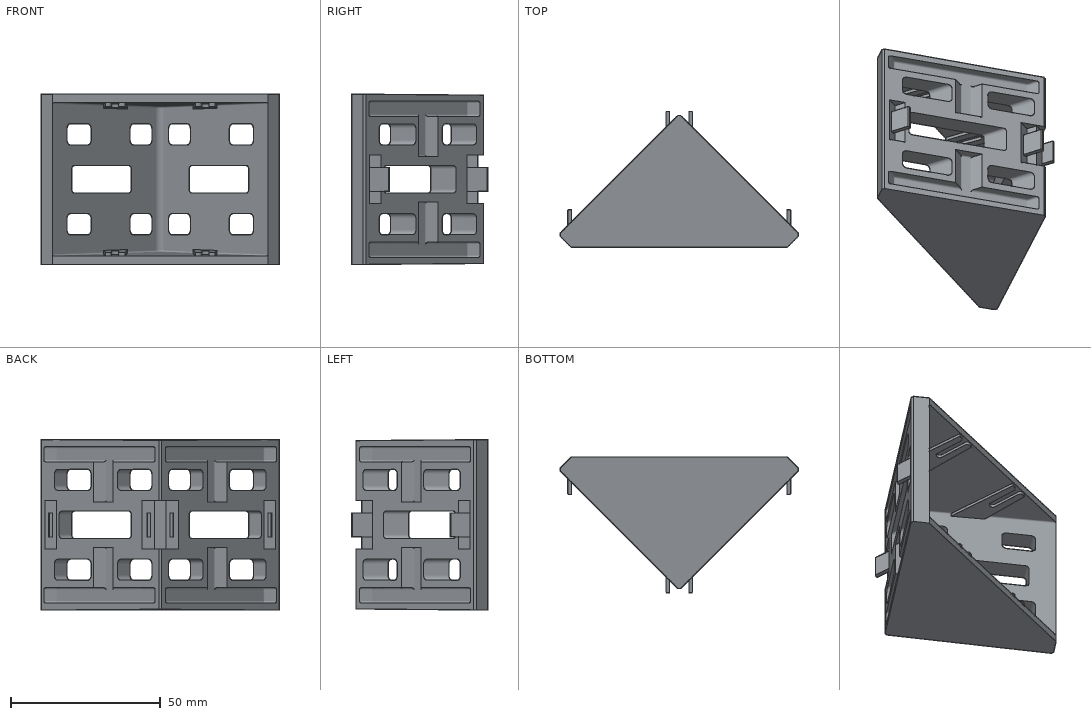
import cadquery as cq
import math

LEG_LENGTH = 57.0
LEG_THICKNESS = 6.0
HEIGHT = 57.0
TRIM = 0.5
PLATE_THICKNESS = 2.9
OUTER_DRAFT = 0.45
INNER_DRAFT = 2.2
APEX_FILLET = 2.0
PLATE_FILLET = 0.5

ROOT2 = math.sqrt(2)
HALF_WIDTH = LEG_LENGTH / ROOT2
LEG_CORNER_Y = LEG_THICKNESS / ROOT2
APEX_Y = HALF_WIDTH + LEG_CORNER_Y
INNER_APEX_Y = APEX_Y - LEG_THICKNESS * ROOT2
FRONT_HALF_WIDTH = HALF_WIDTH - LEG_CORNER_Y
HALF_HEIGHT = HEIGHT / 2
OVERCUT = 1.0

SMALL_WINDOWS = ((4.0, 20.2), (32.7, 50.0))
SMALL_WINDOW_HEIGHT = 7.0
SMALL_WINDOW_Z = 15.0
SMALL_WINDOW_RADIUS = 1.6
BIG_WINDOW = (13.7, 47.75)
BIG_WINDOW_HEIGHT = 9.1
BIG_WINDOW_RADIUS = 1.2

GROOVE_DEPTH = 2.9
GROOVE_SPAN = (2.45, 54.9)
GROOVE_Z = (21.0, 26.1)
GROOVE_FILLET = 0.65
BRANCH_SPAN = (22.3, 31.5)
BRANCH_END_Z = 7.55
BRANCH_FLOOR_FILLET = 0.4

TAB_THICKNESS = 1.3
TAB_WIDTH = 8.0
TAB_CLEARANCE = 1.25
TAB_TIP_CHAMFER = 0.3
POCKET_WIDTH = 16.1
APEX_TAB_X = 3.85
APEX_TAB_TOP = 45.44
APEX_POCKET_FLOOR = 38.45
APEX_NOTCH_Y = 42.1
END_TAB_X = 36.62
END_TAB_TOP = 12.6
END_POCKET_FLOOR = 6.0

PAD_X = 15.07
PAD_HEIGHT = 1.2
PAD_FRONT_Y = 0.2
PAD_EMBED = 1.0
PAD_FRONT_WIDTH = 6.6
PAD_SIDE_DRAFT = 2.0
SLOT_WIDTH = 2.4
SLOT_LENGTH = 12.0
SLOT_END_RADIUS = 1.0
SLOT_MOUTH_RADIUS = 1.2

LEG_FACE = cq.Plane(origin=(0, APEX_Y, 0), xDir=(-1, -1, 0), normal=(-1, 1, 0))


def both_sides(shape, plane):
    """The shape joined with its mirror image."""
    return shape.union(shape.mirror(plane))


def box_between(x_range, y_range, z_size):
    """Box centred on z = 0, spanning the given X and Y ranges."""
    x_size = x_range[1] - x_range[0]
    y_size = y_range[1] - y_range[0]
    box = cq.Workplane("XY").box(x_size, y_size, z_size)
    return box.translate((sum(x_range) / 2, sum(y_range) / 2, 0))


def wedge(front_half_height, draft, y_start, y_end):
    """Wide body whose top and bottom close in towards +Y by the draft angle."""
    slope = math.tan(math.radians(draft))
    start = front_half_height - slope * y_start
    end = front_half_height - slope * y_end
    outline = [(y_start, -start), (y_end, -end), (y_end, end), (y_start, start)]
    return cq.Workplane("YZ").polyline(outline).close().extrude(HALF_WIDTH, both=True)


def body():
    corner_x = HALF_WIDTH - TRIM
    right = [
        (FRONT_HALF_WIDTH, 0),
        (corner_x, LEG_CORNER_Y - TRIM),
        (corner_x, LEG_CORNER_Y + TRIM),
        (TRIM, APEX_Y - TRIM),
    ]
    left = [(-x, y) for x, y in reversed(right)]
    plan = cq.Workplane("XY").polyline(right + left).close().extrude(HALF_HEIGHT, both=True)
    return plan.intersect(wedge(HALF_HEIGHT, OUTER_DRAFT, 0, APEX_Y))


def inner_triangle():
    """Full-height prism of the space between the legs, open past the front."""
    half_width = INNER_APEX_Y + OVERCUT
    outline = [(-half_width, -OVERCUT), (half_width, -OVERCUT), (0, INNER_APEX_Y)]
    prism = cq.Workplane("XY").polyline(outline).close().extrude(HALF_HEIGHT, both=True)
    return prism.edges("|Z and >Y").fillet(APEX_FILLET)


def cavity():
    plates_gap = wedge(HALF_HEIGHT - PLATE_THICKNESS, INNER_DRAFT, -OVERCUT, APEX_Y)
    space = inner_triangle().intersect(plates_gap)
    plate_corners = space.edges("not <Y").edges("not |Z")
    return plate_corners.fillet(PLATE_FILLET)


def flared_cut(span, z_range, depth, radius=0.0, square_far_wall=True):
    """Cut into the left leg: apex-side wall parallel to Y, far wall square to it or parallel to X."""

    def section(level):
        start = span[0] + level
        end = span[1] if square_far_wall else span[1] - level
        sketch = cq.Sketch().rect(end - start, z_range[1] - z_range[0])
        if radius:
            sketch = sketch.vertices().fillet(radius)
        centre = cq.Vector((start + end) / 2, sum(z_range) / 2, -level)
        return sketch.moved(cq.Location(centre))

    return cq.Workplane(LEG_FACE).placeSketch(section(0), section(depth)).loft(ruled=True)


def leg_windows():
    small_half = SMALL_WINDOW_HEIGHT / 2
    z_range = (SMALL_WINDOW_Z - small_half, SMALL_WINDOW_Z + small_half)
    big_half = BIG_WINDOW_HEIGHT / 2
    windows = flared_cut(BIG_WINDOW, (-big_half, big_half), LEG_THICKNESS, BIG_WINDOW_RADIUS)
    for span in SMALL_WINDOWS:
        window = flared_cut(span, z_range, LEG_THICKNESS, SMALL_WINDOW_RADIUS)
        windows = windows.union(both_sides(window, "XY"))
    return windows


def leg_grooves():
    face_selector = cq.selectors.DirectionMinMaxSelector(LEG_FACE.zDir)
    floor_selector = cq.selectors.DirectionMinMaxSelector(LEG_FACE.zDir, directionMax=False)
    groove = flared_cut(GROOVE_SPAN, GROOVE_Z, GROOVE_DEPTH, square_far_wall=False)
    rim = groove.faces(face_selector).edges().vals()
    buried = [edge for edge in groove.edges().vals() if edge not in rim]
    groove = groove.newObject(buried).fillet(GROOVE_FILLET)
    branch_z = (BRANCH_END_Z, sum(GROOVE_Z) / 2)
    branch = flared_cut(BRANCH_SPAN, branch_z, GROOVE_DEPTH, square_far_wall=False)
    branch = branch.faces(floor_selector).edges().fillet(BRANCH_FLOOR_FILLET)
    return both_sides(groove.union(branch), "XY")


def pocket(tab_x, floor_y):
    """Pocket around a right-hand tab, open towards +Y; its floor runs out at the outer leg face."""
    inner_x = tab_x - TAB_THICKNESS / 2 - TAB_CLEARANCE
    outer_x = APEX_Y - floor_y
    return box_between((inner_x, outer_x), (floor_y, APEX_Y), POCKET_WIDTH)


def tab(tab_x, floor_y, top_y):
    """Right-hand tab rooted in the leg and chamfered along its outer tip."""
    half = TAB_THICKNESS / 2
    plate = box_between((tab_x - half, tab_x + half), (floor_y - OVERCUT, top_y), TAB_WIDTH)
    return plate.edges("|Z and >Y and >X").chamfer(TAB_TIP_CHAMFER)


def pockets():
    right = pocket(APEX_TAB_X, APEX_POCKET_FLOOR).union(pocket(END_TAB_X, END_POCKET_FLOOR))
    apex_notch = box_between((-APEX_TAB_X, APEX_TAB_X), (APEX_NOTCH_Y, APEX_Y), POCKET_WIDTH)
    return both_sides(right, "YZ").union(apex_notch)


def tabs():
    apex_tab = tab(APEX_TAB_X, APEX_POCKET_FLOOR, APEX_TAB_TOP)
    end_tab = tab(END_TAB_X, END_POCKET_FLOOR, END_TAB_TOP)
    return both_sides(apex_tab.union(end_tab), "YZ")


def slot():
    """Slot cutter along Y: rounded corners at the back and a flared mouth at the pad front."""
    half = SLOT_WIDTH / 2
    straight = box_between((-half, half), (PAD_FRONT_Y - OVERCUT, SLOT_LENGTH), HEIGHT)
    straight = straight.edges("|Z and >Y").fillet(SLOT_END_RADIUS)
    mouth = half + SLOT_MOUTH_RADIUS
    mouth_end = PAD_FRONT_Y + SLOT_MOUTH_RADIUS
    flare = box_between((-mouth, mouth), (PAD_FRONT_Y, mouth_end), HEIGHT)
    for side in (-1, 1):
        corner = cq.Workplane("XY").circle(SLOT_MOUTH_RADIUS).extrude(HALF_HEIGHT, both=True)
        flare = flare.cut(corner.translate((side * mouth, mouth_end, 0)))
    return straight.union(flare)


def pads():
    """Slotted pads on both plates, widening from the front to the leg walls."""
    front = PAD_FRONT_WIDTH / 2
    pad_length = INNER_APEX_Y - PAD_FRONT_Y
    back = front + pad_length * math.tan(math.radians(PAD_SIDE_DRAFT))
    outline = [
        (-front, PAD_FRONT_Y),
        (front, PAD_FRONT_Y),
        (back, INNER_APEX_Y),
        (-back, INNER_APEX_Y),
    ]
    root_z = HALF_HEIGHT - PAD_EMBED
    column = cq.Workplane("XY").polyline(outline).close().extrude(root_z, both=True)
    column = column.cut(slot()).translate((PAD_X, 0, 0))
    between_pads = wedge(HALF_HEIGHT - PLATE_THICKNESS - PAD_HEIGHT, INNER_DRAFT, -OVERCUT, APEX_Y)
    leg_limit = inner_triangle().translate((0, PLATE_FILLET, 0))
    return both_sides(column.intersect(leg_limit).cut(between_pads), "YZ")


leg_cuts = leg_windows().union(leg_grooves())

result = (
    body()
    .cut(cavity())
    .cut(both_sides(leg_cuts, "YZ"))
    .cut(pockets())
    .union(tabs())
    .union(pads())
)